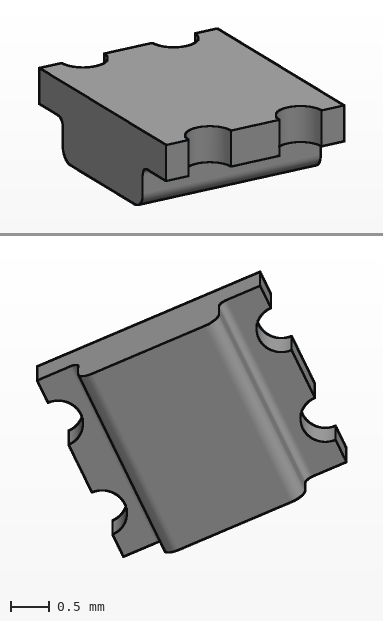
import cadquery as cq

plate_length = 3.17
depth = 2.69
total_height = 1.09
plate_thickness = 0.5

body_length = 2.0
body_height = total_height - plate_thickness
bottom_edge_radius = 0.2
inner_corner_radius = 0.11

notch_radius = 0.32
notch_spacing = 1.37

plate = cq.Workplane("XY").box(plate_length, depth, plate_thickness, centered=(True, True, False))

body = (
    cq.Workplane("XY")
    .box(body_length, depth, body_height, centered=(True, True, False))
    .translate((0, 0, -body_height))
    .faces("<Z").edges("|Y").fillet(bottom_edge_radius)
)

corner_margin = 0.032
inner_corners = cq.selectors.BoxSelector(
    (-body_length / 2 - corner_margin, -corner_margin, -corner_margin),
    (body_length / 2 + corner_margin, corner_margin, corner_margin),
)
result = plate.union(body).edges("|Y").edges(inner_corners).fillet(inner_corner_radius)

notches = (
    cq.Workplane("XY")
    .rarray(plate_length, notch_spacing, 2, 2)
    .circle(notch_radius)
    .extrude(plate_thickness)
)
result = result.cut(notches)